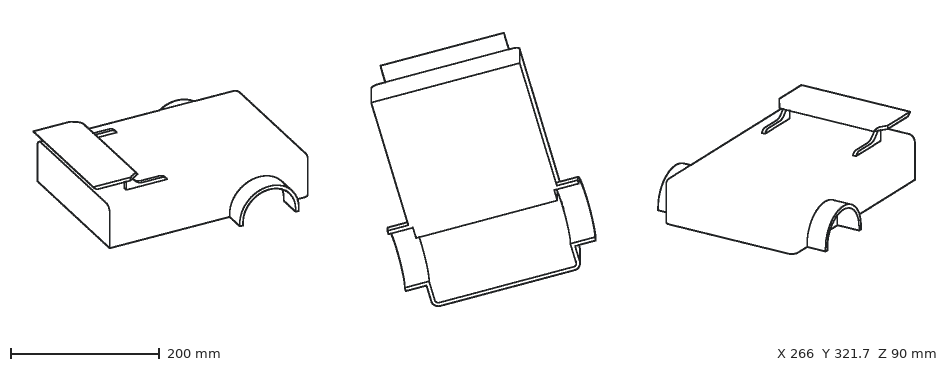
import cadquery as cq
import math

wall = 5.0
edge_radius = 10.0
total_length = 321.7
total_width = 266.0
total_height = 90.0

body_width = 207.8
body_length = 306.0
body_height = 65.0
compartment_length = 102.5

arch_radius = 45.0
arch_inner_radius = arch_radius - wall
arch_axis_height = wall
arch_setback = 78.2

spoiler_length = 73.7
spoiler_width = 172.8
spoiler_back_width = 150.0
spoiler_corner_length = 17.5
support_length = 62.5
bend_radius = edge_radius + wall
bend_setback = 20.0
support_front_setback = 265.5

back_y = total_length / 2
front_y = -total_length / 2
body_front_y = back_y - body_length
arch_y = back_y - arch_setback
spoiler_back_y = front_y + spoiler_length
spoiler_bottom = total_height - wall
arc_run = math.sqrt(edge_radius**2 - (edge_radius - wall) ** 2)


def arc_middle(center_y, center_z, start_angle, end_angle, radius=edge_radius):
    """Mid-point of an arc, with angles in degrees from +Y towards +Z."""
    angle = math.radians((start_angle + end_angle) / 2)
    return center_y + radius * math.cos(angle), center_z + radius * math.sin(angle)


def extrude_along_x(profile, width):
    return profile.extrude(width / 2, both=True)


def rounded_box(width, y_start, y_end, height, radius):
    """Box with the back, top and side edges rounded and the front left sharp."""
    box = cq.Workplane("XY").box(width, y_end - y_start, height, centered=(True, False, False))
    box = box.translate((0, y_start, 0))
    return box.edges("(|Z and >Y) or (>Z and (not <Y))").fillet(radius)


def arch_solid(radius, width):
    """Half-round tunnel profile on short straight legs, centred on X = 0."""
    profile = (
        cq.Workplane("YZ")
        .moveTo(arch_y - radius, 0)
        .lineTo(arch_y - radius, arch_axis_height)
        .threePointArc((arch_y, arch_axis_height + radius), (arch_y + radius, arch_axis_height))
        .lineTo(arch_y + radius, 0)
        .close()
    )
    return extrude_along_x(profile, width)


def make_body():
    outer = rounded_box(body_width, body_front_y, back_y, body_height, edge_radius)
    cavity = rounded_box(
        body_width - 2 * wall,
        back_y - compartment_length,
        back_y - wall,
        body_height - wall,
        edge_radius - wall,
    )
    shell = outer.cut(cavity)
    opening = arch_solid(arch_inner_radius, body_width)
    block = cq.Workplane("XY").box(
        body_width - 2 * wall,
        body_length - compartment_length,
        body_height,
        centered=(True, False, False),
    )
    return shell.cut(opening.cut(block.translate((0, body_front_y, 0))))


def make_arches():
    ring = arch_solid(arch_radius, total_width).cut(arch_solid(arch_inner_radius, total_width))
    between = cq.Workplane("XY").box(body_width - 2 * wall, 2 * total_length, 2 * total_height)
    return ring.cut(between)


def make_spoiler_plate():
    rear_center = (spoiler_back_y - arc_run, total_height - edge_radius)
    front_center = (front_y + arc_run, spoiler_bottom + edge_radius)
    drop_angle = math.degrees(math.acos(arc_run / edge_radius))
    section = (
        cq.Workplane("YZ")
        .moveTo(front_y, total_height)
        .lineTo(rear_center[0], total_height)
        .threePointArc(arc_middle(*rear_center, 90, drop_angle), (spoiler_back_y, spoiler_bottom))
        .lineTo(front_center[0], spoiler_bottom)
        .threePointArc(arc_middle(*front_center, 270, 180 + drop_angle), (front_y, total_height))
        .close()
    )
    half_width = spoiler_width / 2
    half_back = spoiler_back_width / 2
    corner_y = spoiler_back_y - spoiler_corner_length
    plan = (
        cq.Workplane("XY")
        .polyline(
            [
                (-half_width, front_y),
                (half_width, front_y),
                (half_width, corner_y),
                (half_back, spoiler_back_y),
                (-half_back, spoiler_back_y),
                (-half_width, corner_y),
            ]
        )
        .close()
        .extrude(total_height)
    )
    return extrude_along_x(section, spoiler_width).intersect(plan)


def make_support():
    """Foot with a rounded tip that sweeps up through a concave bend into a post."""
    post_front = back_y - support_front_setback
    post_back = post_front + wall
    tip = post_front + support_length
    foot_top = body_height + wall
    tip_center = (tip - arc_run, foot_top - edge_radius)
    tip_angle = math.degrees(math.acos(arc_run / edge_radius))

    bend_start = post_back + bend_setback
    bend_along = bend_radius * math.sin(math.radians(45))
    bend_across = bend_radius - bend_along
    slope = bend_setback - bend_along
    bend_center = (bend_start, foot_top + bend_radius)
    profile = (
        cq.Workplane("YZ")
        .moveTo(post_front, body_height - wall)
        .lineTo(tip, body_height - wall)
        .lineTo(tip, body_height)
        .threePointArc(arc_middle(*tip_center, tip_angle, 90), (tip_center[0], foot_top))
        .lineTo(bend_start, foot_top)
        .threePointArc(
            arc_middle(*bend_center, 270, 225, bend_radius),
            (post_back + slope, foot_top + bend_across),
        )
        .lineTo(post_back, foot_top + bend_across + slope)
        .lineTo(post_back, total_height)
        .lineTo(post_front, total_height)
        .close()
    )
    return extrude_along_x(profile, wall)


result = make_body().union(make_arches()).union(make_spoiler_plate())
for side in (-1, 1):
    support_x = side * (spoiler_back_width - wall) / 2
    result = result.union(make_support().translate((support_x, 0, 0)))